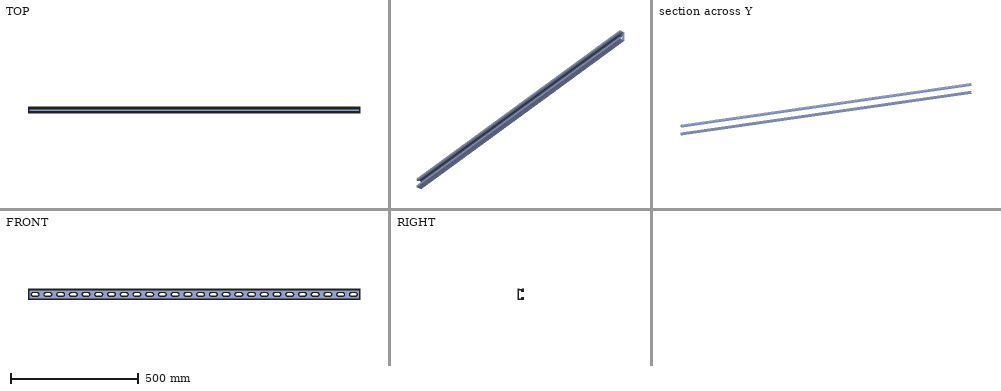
import cadquery as cq

length = 1300.0
depth = 22.79
height = 41.3

wall = 2.5
lip_opening = 22.3
lip_return = 7.6

groove_depth = 1.0
groove_flank = 1.5
groove_start = 4.4
groove_end = 16.4

slot_pitch = 50.0
slot_length = 30.0
slot_height = 13.5
slot_count = int(length / slot_pitch)

web_y = -depth / 2
lip_y = depth / 2


def side_wall(half_gap, rim_start, rim_end):
    """One (y, z) face line of the upper side wall, dipping inward along the groove."""
    groove_z = half_gap - groove_depth
    return [
        (rim_start, half_gap),
        (web_y + groove_start, half_gap),
        (web_y + groove_start + groove_flank, groove_z),
        (web_y + groove_end - groove_flank, groove_z),
        (web_y + groove_end, half_gap),
        (rim_end, half_gap),
    ]


def make_channel():
    """C section with grooved side walls and lips that turn back toward the web."""
    tip_z = lip_opening / 2
    outer_face = side_wall(height / 2, web_y, lip_y)
    inner_face = side_wall(height / 2 - wall, web_y + wall, lip_y - wall)
    lip = [
        (lip_y, tip_z),
        (lip_y - lip_return, tip_z),
        (lip_y - lip_return, tip_z + wall),
        (lip_y - wall, tip_z + wall),
    ]
    upper_half = outer_face + lip + inner_face[::-1]
    lower_half = [(y, -z) for y, z in reversed(upper_half)]
    section = cq.Workplane("YZ").polyline(upper_half + lower_half).close()
    return section.extrude(length / 2, both=True)


def make_slots():
    """Evenly pitched round-ended slots, half a pitch from each end, as deep as the web."""
    inside_of_web = cq.Workplane("XZ", origin=(0, web_y + wall, 0))
    centres = inside_of_web.rarray(slot_pitch, 1, slot_count, 1)
    return centres.slot2D(slot_length, slot_height).extrude(wall)


result = make_channel().cut(make_slots())